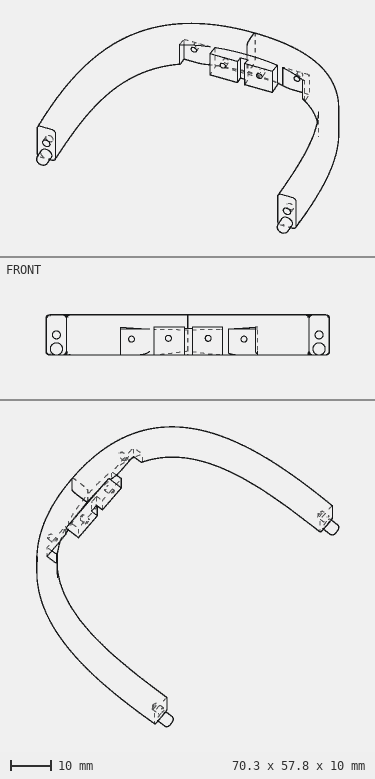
import cadquery as cq
import math

BAND_HEIGHT = 10.0
BAND_THICKNESS = 5.0
BAND_ROUNDING = 1.0
APEX_Y = 54.7
SEAM_GAP = 0.1
END_X = 35.0

APEX_HANDLE = 33.3
END_HANDLE_X = 35.9
END_HANDLE_Y = 26.1

INNER_APEX_HANDLE = 29.5
INNER_END_HANDLE_X = 30.4
INNER_END_HANDLE_Y = 24.7

ARM_CENTRE_X = END_X - BAND_THICKNESS / 2
PIN_DIAMETER = 3.0
PIN_LENGTH = 3.15
PIN_TIP_DIAMETER = 1.5
END_HOLE_DIAMETER = 2.0
END_HOLE_Z = BAND_HEIGHT / 2

BRIDGE_CENTRE_X = 0.15
BRIDGE_HALF_WIDTH = 8.45
BRIDGE_FRONT_Y = APEX_Y - 9.0
BRIDGE_HEIGHT = 6.9
SLOT_WIDTH = 2.0
SLOT_DEPTH = 1.9
CEILING_TILT = 9.0

LEFT_POCKET_INNER_X = 9.4
RIGHT_POCKET_INNER_X = 10.1
POCKET_WIDTH = 7.2
POCKET_FLOOR_Y = APEX_Y - 6.05

SCREW_DIAMETER = 1.5
BRIDGE_SCREW_OFFSET = 4.9
BRIDGE_SCREW_Z = 4.15
POCKET_SCREW_X = 13.9
POCKET_SCREW_Z = 3.95

HOLE_DEPTH = 2.0
DRILL_POINT_ANGLE = 118.0


def drilled_hole(x, y, z, diameter):
    """Blind hole running toward +Y from the face at y, with a conical drill point."""
    radius = diameter / 2
    point_length = radius / math.tan(math.radians(DRILL_POINT_ANGLE / 2))
    profile = (
        cq.Workplane("XY")
        .polyline([(0, 0), (radius, 0), (radius, HOLE_DEPTH), (0, HOLE_DEPTH + point_length)])
        .close()
    )
    return profile.revolve(360, (0, 0, 0), (0, 1, 0)).translate((x, y, z))


def block_under_ceiling(x_start, x_end, y_front, y_back):
    """Block from the underside up to the tilted ceiling plane."""
    slope = math.tan(math.radians(CEILING_TILT))

    def ceiling(y):
        return BRIDGE_HEIGHT - (y - BRIDGE_FRONT_Y) * slope

    side = [(y_front, 0), (y_back, 0), (y_back, ceiling(y_back)), (y_front, ceiling(y_front))]
    return cq.Workplane("YZ").workplane(offset=x_start).polyline(side).close().extrude(x_end - x_start)


def band_half():
    """Right half of the curved band with its four long edges rounded."""
    inner_apex_y = APEX_Y - BAND_THICKNESS
    inner_end_x = END_X - BAND_THICKNESS
    outer = [(APEX_HANDLE, APEX_Y), (END_HANDLE_X, END_HANDLE_Y), (END_X, 0)]
    inner = [(INNER_END_HANDLE_X, INNER_END_HANDLE_Y), (INNER_APEX_HANDLE, inner_apex_y), (0, inner_apex_y)]
    outline = (
        cq.Workplane("XY")
        .moveTo(0, APEX_Y)
        .bezier(outer, includeCurrent=True)
        .lineTo(inner_end_x, 0)
        .bezier(inner, includeCurrent=True)
        .close()
    )
    band = outline.extrude(BAND_HEIGHT).edges("%BEZIER").fillet(BAND_ROUNDING)
    gap = cq.Workplane("XY").box(SEAM_GAP, BAND_THICKNESS, BAND_HEIGHT, centered=(True, False, False))
    return band.cut(gap.translate((0, inner_apex_y, 0)))


def locating_pin():
    """Pin standing out of the arm end, tangent to the underside, with a rounded tip."""
    tip_rounding = (PIN_DIAMETER - PIN_TIP_DIAMETER) / 2
    pin = cq.Workplane("XZ").circle(PIN_DIAMETER / 2).extrude(PIN_LENGTH)
    return pin.faces("<Y").edges().fillet(tip_rounding).translate((ARM_CENTRE_X, 0, PIN_DIAMETER / 2))


def right_hand_arm(pocket_inner_x):
    """Arm on the +X side: band half, locating pin, pocket and blind holes."""
    pocket_outer_x = pocket_inner_x + POCKET_WIDTH
    pocket = block_under_ceiling(pocket_inner_x, pocket_outer_x, BRIDGE_FRONT_Y, POCKET_FLOOR_Y)
    screw_hole = drilled_hole(POCKET_SCREW_X, POCKET_FLOOR_Y, POCKET_SCREW_Z, SCREW_DIAMETER)
    end_hole = drilled_hole(ARM_CENTRE_X, 0, END_HOLE_Z, END_HOLE_DIAMETER)
    return band_half().union(locating_pin()).cut(pocket).cut(screw_hole).cut(end_hole)


def bridge_block(arms):
    """Block across the seam of the arms; its back follows their inner faces."""
    back_y = APEX_Y - BAND_THICKNESS
    x_start = BRIDGE_CENTRE_X - BRIDGE_HALF_WIDTH
    x_end = BRIDGE_CENTRE_X + BRIDGE_HALF_WIDTH
    bridge = block_under_ceiling(x_start, x_end, BRIDGE_FRONT_Y, back_y)
    slot = cq.Workplane("XY").box(SLOT_WIDTH, SLOT_DEPTH, BRIDGE_HEIGHT, centered=(True, False, False))
    bridge = bridge.cut(slot.translate((BRIDGE_CENTRE_X, BRIDGE_FRONT_Y, 0)))
    for x in (BRIDGE_CENTRE_X - BRIDGE_SCREW_OFFSET, BRIDGE_CENTRE_X + BRIDGE_SCREW_OFFSET):
        screw = cq.Workplane("XZ").circle(SCREW_DIAMETER / 2).extrude(-HOLE_DEPTH)
        bridge = bridge.cut(screw.translate((x, BRIDGE_FRONT_Y, BRIDGE_SCREW_Z)))
    for arm in arms:
        bridge = bridge.cut(arm)
    return bridge


right = right_hand_arm(RIGHT_POCKET_INNER_X)
left = right_hand_arm(LEFT_POCKET_INNER_X).mirror("YZ")
bridge = bridge_block([left, right])

result = cq.Compound.makeCompound([left.solids().val(), right.solids().val(), bridge.solids().val()])